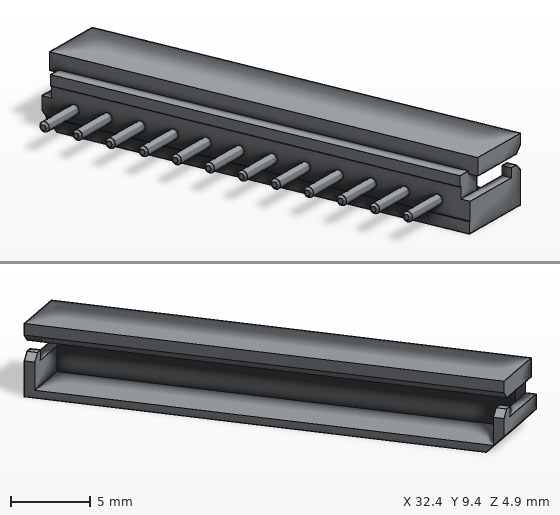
import cadquery as cq

length = 32.4
height = 4.9
housing_depth = 5.9

plate_depth = 4.92
plate_thickness = 1.25
plate_chamfer = 0.5

wall_back = -3.95
wall_top = 3.82
wall_inset = 0.7

rail_width = wall_inset
rail_height = 2.2
lip_height = 2.88
lip_depth = 1.07
lip_chamfer = 0.5
floor_thickness = 0.52
corner_chamfer = 1.2

recess_depth = 0.1
recess_bottom = 0.85
recess_top = 3.05

pin_count = 12
pin_margin = 2.45
pin_diameter = 0.7
pin_tip_chamfer = 0.15
pin_height = 1.78
pin_front = -9.4

plate_bottom = height - plate_thickness


def extrude_along_x(points, start, width):
    """Extrude a closed outline of (Y, Z) points along +X."""
    return cq.Workplane("YZ").workplane(offset=start).polyline(points).close().extrude(width)


def box_between(low, high):
    """Make a box from its two opposite corners."""
    sizes = [b - a for a, b in zip(low, high)]
    return cq.Workplane("XY").box(*sizes, centered=False).translate(low)


def make_top_plate():
    outline = [
        (-plate_depth, plate_bottom),
        (-plate_chamfer, plate_bottom),
        (0, plate_bottom + plate_chamfer),
        (0, height),
        (-plate_depth, height),
    ]
    return extrude_along_x(outline, 0, length)


def make_pin_wall():
    return box_between(
        (wall_inset, -housing_depth, 0),
        (length - wall_inset, wall_back, wall_top),
    )


def make_end_rail(start):
    outline = [
        (-housing_depth, 0),
        (0, 0),
        (0, lip_height - lip_chamfer),
        (-lip_chamfer, lip_height),
        (-lip_depth, lip_height),
        (-lip_depth, rail_height),
        (-housing_depth, rail_height),
    ]
    return extrude_along_x(outline, start, rail_width)


def make_floor():
    return box_between((0, -housing_depth, 0), (length, 0, floor_thickness))


def make_recess():
    return box_between(
        (0, -housing_depth, recess_bottom),
        (length, recess_depth - housing_depth, recess_top),
    )


def make_corner_cut():
    """Wedge that bevels the lower left corner."""
    outline = [(0, 0), (corner_chamfer, 0), (0, corner_chamfer)]
    return cq.Workplane("XZ").polyline(outline).close().extrude(housing_depth)


def make_pin(x):
    """Round pin with a bevelled tip, starting at the cavity side of the wall."""
    return (
        cq.Workplane("XZ", origin=(x, wall_back, pin_height))
        .circle(pin_diameter / 2)
        .extrude(wall_back - pin_front)
        .faces("<Y")
        .chamfer(pin_tip_chamfer)
    )


housing = make_floor().union(make_pin_wall()).union(make_top_plate())
for rail_start in (0, length - rail_width):
    housing = housing.union(make_end_rail(rail_start))
housing = housing.cut(make_recess()).cut(make_corner_cut())

pin_pitch = (length - 2 * pin_margin) / (pin_count - 1)
result = housing
for index in range(pin_count):
    result = result.union(make_pin(pin_margin + index * pin_pitch))